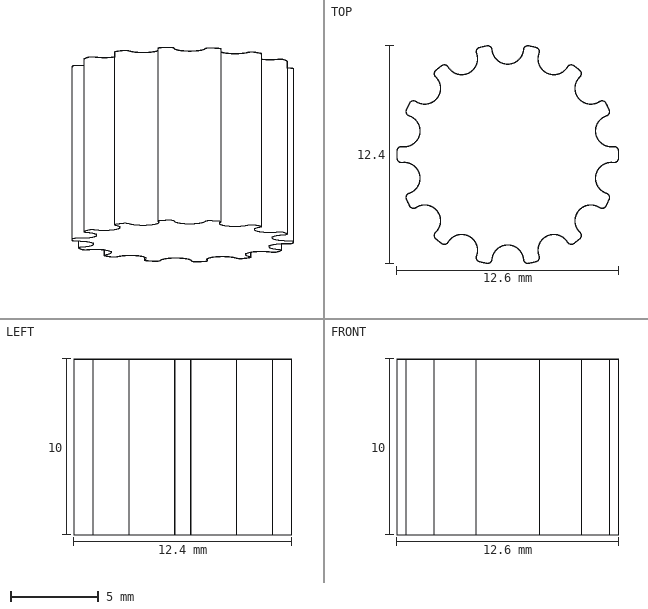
import cadquery as cq
import math

outer_radius = 6.3
height = 10.0

groove_count = 14
root_radius = 5.14
groove_radius = 0.9
flank_angle = 8.0
tip_radius = 0.25
cut_overshoot = 0.38


def make_groove_cutter():
    """Groove centred on +Y: a round bottom with tangent, slightly opening flanks."""
    angle = math.radians(flank_angle)
    center_y = root_radius + groove_radius
    tangent_x = groove_radius * math.cos(angle)
    tangent_y = center_y - groove_radius * math.sin(angle)
    mouth_y = outer_radius + cut_overshoot
    mouth_x = tangent_x + (mouth_y - tangent_y) * math.tan(angle)
    return (
        cq.Workplane("XY")
        .moveTo(-mouth_x, mouth_y)
        .lineTo(-tangent_x, tangent_y)
        .threePointArc((0, root_radius), (tangent_x, tangent_y))
        .lineTo(mouth_x, mouth_y)
        .close()
        .extrude(height)
    )


def cut_grooves(body):
    cutter = make_groove_cutter()
    for index in range(groove_count):
        turn = 360.0 * index / groove_count
        body = body.cut(cutter.rotate((0, 0, 0), (0, 0, 1), turn))
    return body


def round_tooth_tips(body):
    """Round the vertical edges lying on the outer cylinder."""
    edge_tolerance = 0.001
    tip_edges = [
        edge for edge in body.edges("|Z").vals()
        if abs(math.hypot(edge.Center().x, edge.Center().y) - outer_radius) < edge_tolerance
    ]
    return body.newObject(tip_edges).fillet(tip_radius)


blank = cq.Workplane("XY").circle(outer_radius).extrude(height)
result = round_tooth_tips(cut_grooves(blank))